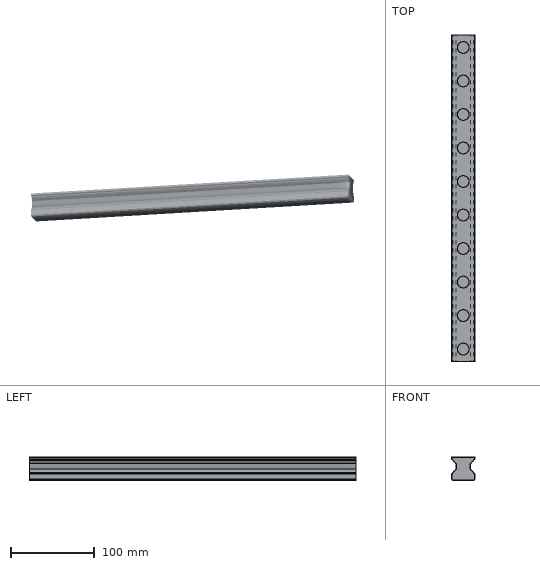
import cadquery as cq

rail_length = 390.0
rail_width = 28.0
rail_height = 28.0

waist_height = 16.8
neck_half_width = 8.5
neck_half_height = 3.3
raceway_depth = 3.8
relief_step = 0.6
relief_rise = 1.4
bottom_chamfer = 1.5

hole_count = 10
hole_pitch = 40.0
cap_diameter = 14.0
cap_recess = 0.1


def rail_body():
    """Waisted section, mirrored about X = 0 and extruded along Y."""
    half_width = rail_width / 2
    raceway_half_width = neck_half_width + raceway_depth
    raceway_half_height = neck_half_height + raceway_depth
    relief_half_height = raceway_half_height + relief_step
    side_half_height = relief_half_height + relief_rise

    waist_corners = [
        (neck_half_width, neck_half_height),
        (raceway_half_width, raceway_half_height),
        (raceway_half_width, relief_half_height),
        (half_width, side_half_height),
    ]
    lower_waist = [(x, waist_height - rise) for x, rise in reversed(waist_corners)]
    upper_waist = [(x, waist_height + rise) for x, rise in waist_corners]

    foot = [(half_width - bottom_chamfer, 0), (half_width, bottom_chamfer)]
    right_side = foot + lower_waist + upper_waist + [(half_width, rail_height)]
    left_side = [(-x, z) for x, z in reversed(right_side)]
    return (
        cq.Workplane("XZ")
        .polyline(right_side + left_side)
        .close()
        .extrude(rail_length / 2, both=True)
    )


def cap_recesses():
    """Shallow round recesses in one row along the middle of the top face."""
    row_start = -hole_pitch * (hole_count - 1) / 2
    centres = [(0, row_start + i * hole_pitch) for i in range(hole_count)]
    return (
        cq.Workplane("XY", origin=(0, 0, rail_height))
        .pushPoints(centres)
        .circle(cap_diameter / 2)
        .extrude(-cap_recess)
    )


result = rail_body().cut(cap_recesses())